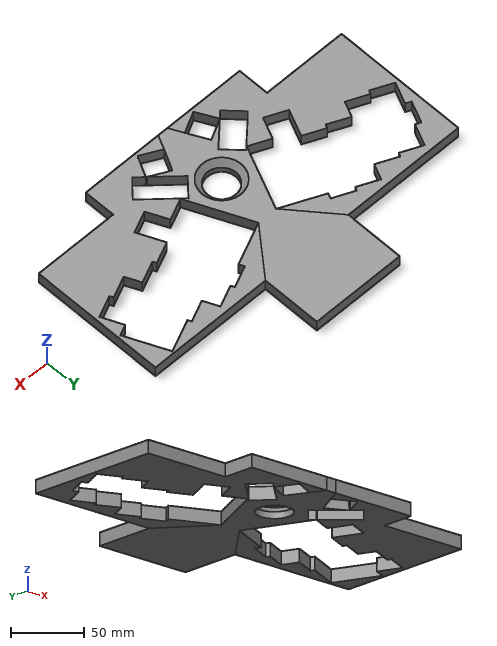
import cadquery as cq
import math


thickness = 10.0
half_width = 291.7 / 2
stem_half_width = 40.0
foot_half_width = 74.0
plate_depth = 190.0
shoulder_y = 140.0
foot_depth = 26.5
seam_front_x = 4.5

KEYS_IN_BLOCK = 6
block_width = 114.3
key = block_width / KEYS_IN_BLOCK

window_corner = (8.5, 101.5)
window_angle = 24.2
column_rows = 3
inner_columns = 2
column_shifts = [4.7, -3.2, -13.7, -3.2]

left_outer_keys = (1 / 4, 1, 1)
right_outer_keys = (1 / 2, 0, 2)

slot_center = (35.0, 33.0)
slot_angle = -43
left_slot_keys = 1.75
right_slot_keys = 2

square_corner = (18.7, 28.3)
square_angle = -27.2

hole_y = 57.2
hole_diameter = 27.0
countersink_depth = thickness / 2
countersink_angle = 90
countersink_diameter = hole_diameter + 2 * countersink_depth * math.tan(math.radians(countersink_angle / 2))


def turned(origin, angle, u, v):
    """Point at (u, v) in a frame at origin that is turned by angle degrees."""
    a = math.radians(angle)
    x = origin[0] + u * math.cos(a) - v * math.sin(a)
    y = origin[1] + u * math.sin(a) + v * math.cos(a)
    return (x, y)


def plate(points):
    return cq.Workplane("XY").polyline(points).close().extrude(thickness)


def turned_block(origin, angle, u0, u1, v0, v1):
    corners = [(u0, v0), (u1, v0), (u1, v1), (u0, v1)]
    return plate([turned(origin, angle, u, v) for u, v in corners])


def key_window(outer_keys):
    """Through cutter for the main keys, on the +X side."""
    def block(u0, u1, back, rows):
        return turned_block(window_corner, window_angle, u0, u1, back - rows * key, back)

    u = inner_columns * key
    window = block(0, u, 0, column_rows)
    window = window.union(block(u - key, u, 0, column_rows + 1))

    back = 0
    for shift in column_shifts:
        back += shift
        window = window.union(block(u, u + key, back, column_rows))
        u += key

    extra_keys, first_row, rows = outer_keys
    return window.union(block(u - key, u + extra_keys * key, back - first_row * key, rows))


def thumb_slot(slot_keys):
    half_length = slot_keys * key / 2
    return turned_block(slot_center, slot_angle, -half_length, half_length, -key / 2, key / 2)


def thumb_square():
    return turned_block(square_corner, square_angle, 0, key, -key, 0)


def side_cutters(outer_keys, slot_keys):
    """The key openings of one side, on the +X side."""
    return [key_window(outer_keys), thumb_slot(slot_keys), thumb_square()]


def cut_all(body, cutters):
    for cutter in cutters:
        body = body.cut(cutter)
    return body.solids()


seam = [
    (stem_half_width, shoulder_y),
    window_corner,
    turned(window_corner, window_angle, 0, -column_rows * key),
    slot_center,
    turned(square_corner, square_angle, key, 0),
    turned(square_corner, square_angle, 0, -key),
    (seam_front_x, 0),
]


def make_wing(cutters):
    outline = seam + [
        (foot_half_width, 0),
        (foot_half_width, foot_depth),
        (half_width, foot_depth),
        (half_width, shoulder_y),
    ]
    return cut_all(plate(outline), cutters)


def make_center(cutters):
    mirrored_seam = [(-x, y) for x, y in reversed(seam)]
    back_edge = [(-stem_half_width, plate_depth), (stem_half_width, plate_depth)]
    body = cut_all(plate(seam + mirrored_seam + back_edge), cutters)
    return (
        body.faces(">Z").workplane(origin=(0, hole_y, thickness))
        .cskHole(hole_diameter, countersink_diameter, countersink_angle)
        .solids()
    )


right_cutters = side_cutters(right_outer_keys, right_slot_keys)
left_cutters = side_cutters(left_outer_keys, left_slot_keys)
mirrored_left_cutters = [cutter.mirror("YZ") for cutter in left_cutters]

center = make_center(right_cutters + mirrored_left_cutters)
right_wing = make_wing(right_cutters)
left_wing = make_wing(left_cutters).mirror("YZ")

result = cq.Compound.makeCompound([center.val(), right_wing.val(), left_wing.val()])